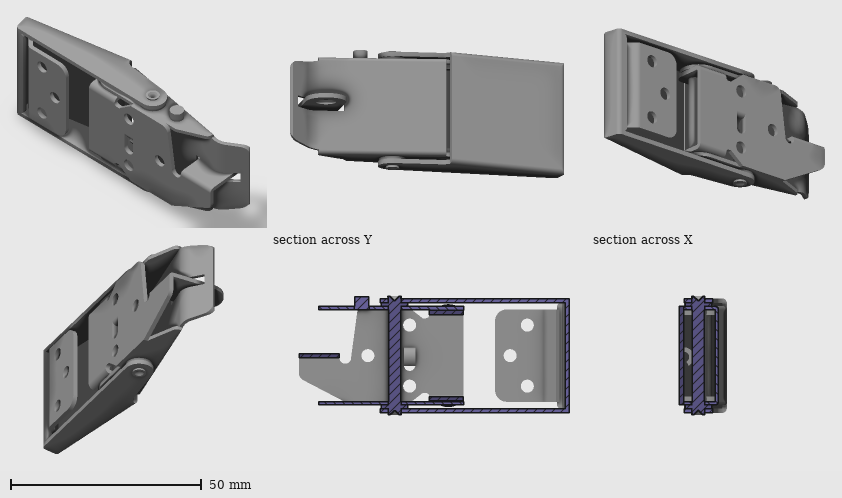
import cadquery as cq
import math


sheet = 1.2
handle_sheet = 1.0
length = 75.0
slope = math.radians(10)
screw_hole_d = 3.4
screw_z = 8.0

housing_half = 15.0
housing_inner_half = housing_half - sheet
handle_half = 13.0
handle_inner_half = handle_half - handle_sheet
floor_y = sheet

pivot_x, pivot_y = 46.0, 5.0
hinge_x, hinge_y = 31.9, 6.85
stud_x, stud_y = 54.6, 5.0

pivot_pin_r = 1.65
hinge_pin_r = 1.7
stud_r = 1.9


def z_cylinder(x, y, radius, z_from, z_to):
    return cq.Workplane("XY", origin=(x, y, z_from)).circle(radius).extrude(z_to - z_from)


def z_prism(outline, half_width):
    """Extrude a closed XY outline to both sides of the middle plane."""
    return outline.extrude(half_width, both=True)


def along_z_bore(x, y, radius):
    return z_cylinder(x, y, radius, -housing_half, housing_half)


def y_holes(points, diameter):
    """Screw holes through a plate lying on the mounting plane."""
    return cq.Workplane("XZ").pushPoints(points).circle(diameter / 2).extrude(-sheet)


housing_bend_r = sheet
arm_end_r = pivot_y - floor_y
housing_top_end_x = 31.75
housing_corner_x = -housing_bend_r * (math.cos(slope) + math.sin(slope) - 1)
housing_corner_y = 6.85
notch_sag = 0.2
lip_end_x = 3.4
lip_corner_r = 0.9
arm_slope = math.radians(6)
notch_x = 34.0


def housing_top_y(x):
    return housing_corner_y + (x - housing_corner_x) * math.tan(slope)


def housing_end_x(y):
    return housing_corner_x + (housing_corner_y - y) * math.tan(slope)


def make_housing():
    top_end_y = housing_top_y(housing_top_end_x)
    arm_tangent_x = pivot_x + arm_end_r * math.sin(arm_slope)
    arm_tangent_y = pivot_y + arm_end_r * math.cos(arm_slope)
    notch_y = arm_tangent_y + (arm_tangent_x - notch_x) * math.tan(arm_slope)
    plate_end_x = housing_top_end_x + sheet * math.sin(slope)
    plate_end_y = top_end_y - sheet * math.cos(slope)
    notch_mid_x = (plate_end_x + notch_x) / 2 - notch_sag
    notch_mid_y = (plate_end_y + notch_y) / 2 - notch_sag
    outline = (
        cq.Workplane("XY")
        .moveTo(housing_end_x(floor_y), floor_y)
        .lineTo(housing_corner_x, housing_corner_y)
        .lineTo(housing_top_end_x, top_end_y)
        .lineTo(plate_end_x, plate_end_y)
        .threePointArc((notch_mid_x, notch_mid_y), (notch_x, notch_y))
        .lineTo(arm_tangent_x, arm_tangent_y)
        .threePointArc((pivot_x + arm_end_r, pivot_y), (pivot_x, floor_y))
        .close()
    )
    shell = z_prism(outline, housing_half)
    for corner in ((housing_end_x(floor_y), floor_y), (housing_corner_x, housing_corner_y)):
        shell = shell.edges(cq.selectors.NearestToPointSelector((*corner, 0))).fillet(housing_bend_r)
    envelope = (
        cq.Workplane("XY")
        .box(4 * length, length, 2 * housing_half)
        .edges(">Y and |X").fillet(housing_bend_r)
        .translate((0, -length / 2, 0))
        .rotate((0, 0, 0), (0, 0, 1), math.degrees(slope))
        .translate((housing_corner_x, housing_corner_y, 0))
    )
    shell = shell.intersect(envelope)

    wall_x = sheet / math.cos(slope)
    inner_corner_x = housing_corner_x + sheet * (math.cos(slope) + math.sin(slope))
    inner_corner_y = housing_corner_y + sheet * (math.sin(slope) - math.cos(slope))
    cavity = (
        cq.Workplane("XY")
        .moveTo(housing_end_x(0) + wall_x, 0)
        .lineTo(inner_corner_x, inner_corner_y)
        .lineTo(plate_end_x, plate_end_y)
        .lineTo(length, plate_end_y)
        .lineTo(length, 0)
        .close()
    )
    shell = shell.cut(z_prism(cavity, housing_inner_half))

    lip_start_x = housing_end_x(floor_y) + housing_bend_r
    lip = (
        cq.Workplane("XY")
        .box(lip_end_x - lip_start_x, sheet, 2 * housing_inner_half, centered=(False, False, True))
        .translate((lip_start_x, floor_y, 0))
        .edges(">X and |Y").fillet(lip_corner_r)
    )
    return shell.union(lip).cut(along_z_bore(pivot_x, pivot_y, pivot_pin_r))


strike_end_x = 19.65
strike_half = 12.1
strike_corner_r = 3.0
strike_bend_x = 6.5
strike_bend_r = 1.5
hook_rise = 3.7
strike_holes = [(11.2, screw_z), (11.2, -screw_z), (15.7, 0)]


def make_strike():
    hook_tip_x = strike_bend_x - hook_rise
    diagonal = sheet * math.sin(math.pi / 4)
    inner_bend_x = strike_bend_x + sheet * math.tan(math.pi / 8)
    outline = (
        cq.Workplane("XY")
        .moveTo(strike_end_x, 0)
        .lineTo(strike_bend_x, 0)
        .lineTo(hook_tip_x, hook_rise)
        .lineTo(hook_tip_x + diagonal, hook_rise + diagonal)
        .lineTo(inner_bend_x, sheet)
        .lineTo(strike_end_x, sheet)
        .close()
    )
    plate = z_prism(outline, strike_half)
    outer_bend = cq.selectors.NearestToPointSelector((strike_bend_x, 0, 0))
    inner_bend = cq.selectors.NearestToPointSelector((inner_bend_x, sheet, 0))
    plate = plate.edges(outer_bend).fillet(strike_bend_r)
    plate = plate.edges(inner_bend).fillet(strike_bend_r - sheet)
    plate = plate.edges(">X and |Y").fillet(strike_corner_r)
    return plate.cut(y_holes(strike_holes, screw_hole_d))


base_start_x = 27.9
cheek_end_x = 36.95
cheek_half = 11.9
cheek_top_y = 10.4
cheek_top_r = 2.5
cheek_bend_r = 1.5
ear_start_x, ear_end_x = 60.45, 71.1
ear_hole_d = 5.3
ear_top_y = 18.5
ear_corner = sheet / 2
relief_x, relief_depth_z = 38.65, 9.8
shoulder_x = 42.75
window_x, window_width = 42.05, 3.0
base_screws = [(window_x, screw_z), (window_x, -screw_z), (53.0, 0)]
window_top_z, window_bottom_z = 2.2, -4.0
relief_r = 0.8
top_corner_x = 53.95
top_corner_mid = (55.25, 12.4)
top_corner_end = (55.85, 11.0)
latch_gap_start = (57.4, -0.5)
latch_gap_bottom = (58.95, -2.1)
nose_z = -4.5
nose_mid = (70.8, -5.6)
nose_end = (70.0, -6.4)
taper_x = 57.35
curl_inner_r = 1.4
curl_shortfall = math.radians(30)


def make_base_plate():
    relief_mid = relief_r * (1 - math.sin(math.pi / 4))
    outline = (
        cq.Workplane("XZ")
        .moveTo(cheek_end_x, relief_depth_z + relief_r)
        .threePointArc(
            (cheek_end_x + relief_mid, relief_depth_z + relief_mid),
            (cheek_end_x + relief_r, relief_depth_z),
        )
        .lineTo(relief_x, relief_depth_z)
        .lineTo(shoulder_x, handle_half)
        .lineTo(top_corner_x, handle_half)
        .threePointArc(top_corner_mid, top_corner_end)
        .lineTo(*latch_gap_start)
        .threePointArc(latch_gap_bottom, (ear_start_x, -ear_corner))
        .lineTo(ear_end_x, -ear_corner)
        .lineTo(ear_end_x, nose_z)
        .threePointArc(nose_mid, nose_end)
        .lineTo(taper_x, -handle_half)
        .lineTo(shoulder_x, -handle_half)
        .lineTo(relief_x, -relief_depth_z)
        .lineTo(cheek_end_x + relief_r, -relief_depth_z)
        .threePointArc(
            (cheek_end_x + relief_mid, -relief_depth_z - relief_mid),
            (cheek_end_x, -relief_depth_z - relief_r),
        )
        .close()
    )
    return outline.extrude(-sheet)


def make_cheeks():
    """Channel with two cheeks that carry the hinge pin."""
    channel = (
        cq.Workplane("XY")
        .box(cheek_end_x - base_start_x, cheek_top_y, 2 * cheek_half, centered=(False, False, True))
        .translate((base_start_x, 0, 0))
        .edges("<Y and |X").fillet(cheek_bend_r)
        .edges(">Y and |Z").fillet(cheek_top_r)
    )
    inner = (
        cq.Workplane("XY")
        .box(cheek_end_x - base_start_x, cheek_top_y, 2 * (cheek_half - sheet), centered=(False, False, True))
        .translate((base_start_x, sheet, 0))
        .edges("<Y and |X").fillet(cheek_bend_r - sheet)
    )
    return channel.cut(inner).cut(along_z_bore(hinge_x, hinge_y, hinge_pin_r))


def make_ear():
    """Padlock ear bent up from the edge of the plate."""
    ear_r = (ear_end_x - ear_start_x) / 2
    ear_x = ear_start_x + ear_r
    eye_y = ear_top_y - ear_r
    bend = (
        cq.Workplane("YZ", origin=(ear_start_x, 0, 0))
        .moveTo(0, -ear_corner)
        .threePointArc(
            (sheet * (1 - math.cos(math.pi / 4)), -ear_corner + sheet * math.sin(math.pi / 4)),
            (sheet, ear_corner),
        )
        .lineTo(sheet, -ear_corner)
        .close()
        .extrude(ear_end_x - ear_start_x)
    )
    blade = (
        cq.Workplane("XY")
        .moveTo(ear_start_x, sheet)
        .lineTo(ear_start_x, eye_y)
        .threePointArc((ear_x, ear_top_y), (ear_end_x, eye_y))
        .lineTo(ear_end_x, sheet)
        .close()
    )
    eye = z_cylinder(ear_x, eye_y, ear_hole_d / 2, -sheet, sheet)
    return bend.union(z_prism(blade, sheet / 2).cut(eye))


def make_window():
    """Opening left by the spring hook, rounded at its lower end."""
    radius = window_width / 2
    return (
        cq.Workplane("XZ")
        .moveTo(window_x - radius, window_top_z)
        .lineTo(window_x - radius, window_bottom_z + radius)
        .threePointArc((window_x, window_bottom_z), (window_x + radius, window_bottom_z + radius))
        .lineTo(window_x + radius, window_top_z)
        .close()
        .extrude(-sheet)
    )


def make_spring_hook():
    """Tongue bent inwards from the top of the window and curled downwards."""
    curl_outer_r = curl_inner_r + sheet
    curl_z = window_top_z - curl_outer_r
    bend_mid = sheet * math.sin(math.pi / 4)

    def curl_tip(radius):
        return (sheet + radius * math.sin(curl_shortfall), curl_z - radius * math.cos(curl_shortfall))

    return (
        cq.Workplane("YZ", origin=(window_x - window_width / 2, 0, 0))
        .moveTo(0, window_top_z)
        .threePointArc((sheet - bend_mid, window_top_z - bend_mid), (sheet, window_top_z - sheet))
        .threePointArc((sheet + curl_inner_r, curl_z), curl_tip(curl_inner_r))
        .lineTo(*curl_tip(curl_outer_r))
        .threePointArc((sheet + curl_outer_r, curl_z), (sheet, window_top_z))
        .close()
        .extrude(window_width)
    )


def make_base():
    plate = make_base_plate().cut(y_holes(base_screws, screw_hole_d)).cut(make_window())
    return plate.union(make_cheeks()).union(make_ear()).union(make_spring_hook())


handle_top_x, handle_top_y = 33.1, 12.63
top_bevel = 0.3
wall_end_x = 66.2
wall_arc_r = 5.0
wall_arc_x = 32.7
wall_toe_x = 57.6
wall_heel_y = 4.8
wall_heel_r = 1.5
tail_slope = math.radians(40)
tail_bend_r = 4.8
tail_end_half = 10.3
tail_corner_r = 2.5
handle_slot_x = 59.55
handle_slot_half = 1.5
slot_to_tail_end = 2.35


def handle_line_y(x, depth=0.0):
    """Top plate face, or the plane lying the given depth below it."""
    return handle_top_y - depth / math.cos(slope) - (x - handle_top_x) * math.tan(slope)


def make_handle_channel():
    wall_arc_y = floor_y + wall_arc_r
    outline = (
        cq.Workplane("XY")
        .moveTo(wall_arc_x, floor_y)
        .threePointArc((wall_arc_x - wall_arc_r, wall_arc_y), (wall_arc_x, wall_arc_y + wall_arc_r))
        .lineTo(handle_top_x, wall_arc_y + wall_arc_r)
        .lineTo(handle_top_x, handle_top_y - top_bevel)
        .lineTo(handle_top_x + top_bevel, handle_line_y(handle_top_x + top_bevel))
        .lineTo(wall_end_x, handle_line_y(wall_end_x))
        .lineTo(wall_end_x, wall_heel_y)
        .lineTo(wall_toe_x, floor_y)
        .close()
    )
    channel = z_prism(outline, handle_half)
    heel = cq.selectors.NearestToPointSelector((wall_end_x, wall_heel_y, 0))
    channel = channel.edges(heel).fillet(wall_heel_r)
    top_middle_x = (handle_top_x + wall_end_x) / 2
    for side in (-1, 1):
        top_edge = (top_middle_x, handle_line_y(top_middle_x), side * handle_half)
        channel = channel.edges(cq.selectors.NearestToPointSelector(top_edge)).fillet(handle_sheet)
    cavity = (
        cq.Workplane("XY")
        .moveTo(0, 0)
        .lineTo(0, handle_line_y(0, handle_sheet))
        .lineTo(length, handle_line_y(length, handle_sheet))
        .lineTo(length, 0)
        .close()
    )
    return channel.cut(z_prism(cavity, handle_inner_half))


def make_handle_tail():
    """Return the upturned tail and the slot through which the ear passes."""
    bend_y = handle_line_y(wall_end_x, handle_sheet)
    center_x = wall_end_x + tail_bend_r * math.sin(slope)
    center_y = bend_y + tail_bend_r * math.cos(slope)
    inner_r = tail_bend_r - handle_sheet

    def on_bend(radius, tilt):
        return (center_x + radius * math.sin(tilt), center_y - radius * math.cos(tilt))

    middle = (tail_slope - slope) / 2
    bend_end_x, bend_end_y = on_bend(tail_bend_r, tail_slope)
    tip_x = length
    tip_y = bend_end_y + (tip_x - bend_end_x) * math.tan(tail_slope)
    normal_x, normal_y = -math.sin(tail_slope), math.cos(tail_slope)
    outline = (
        cq.Workplane("XY")
        .moveTo(wall_end_x, bend_y)
        .threePointArc(on_bend(tail_bend_r, middle), (bend_end_x, bend_end_y))
        .lineTo(tip_x, tip_y)
        .lineTo(tip_x + handle_sheet * normal_x, tip_y + handle_sheet * normal_y)
        .lineTo(*on_bend(inner_r, tail_slope))
        .threePointArc(on_bend(inner_r, middle), on_bend(inner_r, -slope))
        .lineTo(wall_end_x, handle_line_y(wall_end_x))
        .close()
    )
    tail = z_prism(outline, handle_inner_half)
    trim = (
        cq.Workplane("XZ")
        .polyline([
            (wall_end_x, -handle_inner_half),
            (length, -tail_end_half),
            (length, tail_end_half),
            (wall_end_x, handle_inner_half),
        ])
        .close()
        .extrude(-ear_top_y)
        .edges(">X and |Y").fillet(tail_corner_r)
    )

    slot_x = tip_x - slot_to_tail_end * math.cos(tail_slope)
    slot_y = tip_y - slot_to_tail_end * math.sin(tail_slope)
    overcut = 2 * handle_sheet
    slot = (
        cq.Workplane("XY")
        .moveTo(handle_slot_x, 0)
        .lineTo(slot_x - overcut * normal_x, slot_y - overcut * normal_y)
        .lineTo(slot_x + overcut * normal_x, slot_y + overcut * normal_y)
        .lineTo(handle_slot_x, handle_top_y)
        .close()
    )
    return tail.intersect(trim), z_prism(slot, handle_slot_half)


def make_handle():
    tail, slot = make_handle_tail()
    body = make_handle_channel().union(tail).cut(slot)
    body = body.cut(along_z_bore(pivot_x, pivot_y, pivot_pin_r))
    body = body.cut(along_z_bore(hinge_x, hinge_y, hinge_pin_r))
    return body.cut(z_cylinder(stud_x, stud_y, stud_r, 0, housing_half))


pivot_end_z = 15.6
pivot_head_r = 1.85
pivot_collar_r = 3.55
pivot_dimple_r = 1.25
pivot_dimple_depth = 1.2
hinge_head_r = 2.6
hinge_head_height = 0.7
stud_end_z = 15.45


def make_pivot_pin():
    """Revolved pin with spacing collars, flared ends and conical end dimples."""
    upper = [
        (pivot_pin_r, handle_half),
        (pivot_collar_r, handle_half),
        (pivot_collar_r, housing_inner_half),
        (pivot_pin_r, housing_inner_half),
        (pivot_pin_r, housing_half),
        (pivot_head_r, pivot_end_z),
        (pivot_dimple_r, pivot_end_z),
        (0, pivot_end_z - pivot_dimple_depth),
    ]
    lower = [(radius, -z) for radius, z in reversed(upper)]
    pin = cq.Workplane("XZ").polyline(lower + upper).close().revolve(360, (0, 0), (0, 1))
    return pin.translate((pivot_x, pivot_y, 0))


def make_hinge_pin():
    """Revolved rivet with a low domed head against each handle wall."""
    head_top = handle_half + hinge_head_height
    dome_r = (hinge_head_r**2 + hinge_head_height**2) / (2 * hinge_head_height)
    mid_angle = math.asin(hinge_head_r / dome_r) / 2
    dome_mid_x = dome_r * math.sin(mid_angle)
    dome_mid_z = head_top - dome_r * (1 - math.cos(mid_angle))
    pin = (
        cq.Workplane("XZ")
        .moveTo(0, -head_top)
        .threePointArc((dome_mid_x, -dome_mid_z), (hinge_head_r, -handle_half))
        .lineTo(hinge_pin_r, -handle_half)
        .lineTo(hinge_pin_r, handle_half)
        .lineTo(hinge_head_r, handle_half)
        .threePointArc((dome_mid_x, dome_mid_z), (0, head_top))
        .close()
        .revolve(360, (0, 0), (0, 1))
    )
    return pin.translate((hinge_x, hinge_y, 0))


def make_stud():
    return z_cylinder(stud_x, stud_y, stud_r, handle_inner_half, stud_end_z)


housing = make_housing()
strike = make_strike()
base = make_base()
handle = make_handle()
pivot_pin = make_pivot_pin()
hinge_pin = make_hinge_pin()
stud = make_stud()

result = cq.Compound.makeCompound([
    housing.solids().val(),
    strike.solids().val(),
    base.solids().val(),
    handle.solids().val(),
    pivot_pin.solids().val(),
    hinge_pin.solids().val(),
    stud.solids().val(),
])